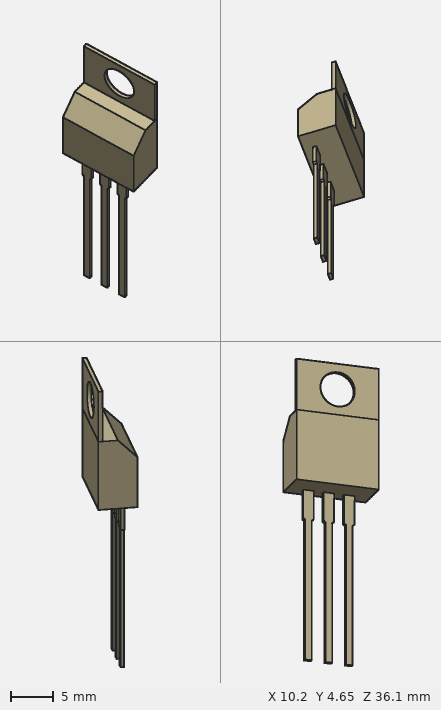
import cadquery as cq

width = 10.23
depth = 4.65
total_height = 36.15

tab_height = 6.35
tab_thickness = 0.5
hole_diameter = 4.25

housing_height = 8.68
slope_depth = 2.35
slope_height = 2.35

lead_count = 3
lead_pitch = 2.53
lead_thickness = 0.45
lead_back_gap = 3.05
wide_width = 1.3
narrow_width = 0.83
wide_length = 3.55
taper_length = 0.18

housing_top = total_height - tab_height
housing_bottom = housing_top - housing_height


def make_tab():
    """Flat plate standing on the back edge of the housing, with a central mounting hole."""
    plate = cq.Workplane("XY").box(width, tab_thickness, tab_height, centered=(True, False, False))
    plate = plate.faces("<Y").workplane(centerOption="CenterOfBoundBox").hole(hole_diameter)
    return plate.translate((0, -tab_thickness, housing_top))


def make_housing():
    """Block whose upper front edge is cut off by a slope."""
    return (
        cq.Workplane("YZ")
        .moveTo(0, housing_bottom)
        .lineTo(-depth, housing_bottom)
        .lineTo(-depth, housing_top - slope_height)
        .lineTo(-depth + slope_depth, housing_top)
        .lineTo(0, housing_top)
        .close()
        .extrude(width / 2, both=True)
    )


def make_lead(center_x):
    """Flat lead, wide below the housing and tapering quickly to a narrow leg."""
    taper_top = housing_bottom - wide_length
    taper_bottom = taper_top - taper_length
    right_side = [
        (narrow_width / 2, 0),
        (narrow_width / 2, taper_bottom),
        (wide_width / 2, taper_top),
        (wide_width / 2, housing_bottom),
    ]
    left_side = [(-x, z) for x, z in reversed(right_side)]
    return (
        cq.Workplane("XZ")
        .polyline(right_side + left_side)
        .close()
        .extrude(lead_thickness)
        .translate((center_x, -lead_back_gap, 0))
    )


tab = make_tab()
housing = make_housing()
leads = []
for index in range(lead_count):
    lead_x = (index - (lead_count - 1) / 2) * lead_pitch
    leads.append(make_lead(lead_x))

result = cq.Compound.makeCompound([tab.val(), housing.val(), *[lead.val() for lead in leads]])